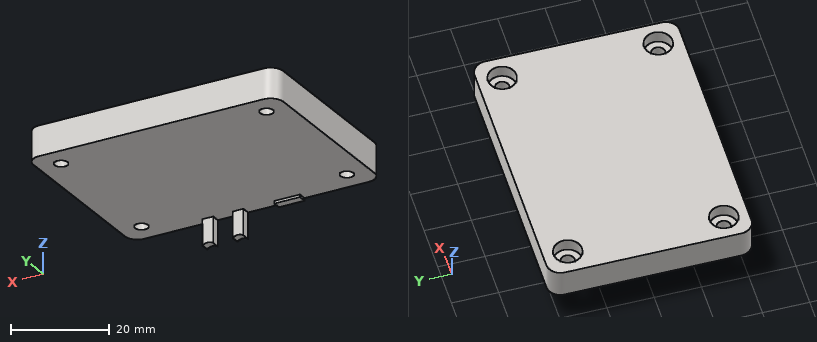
import cadquery as cq

length = 58.4
width = 43.4
plate_thickness = 7.0
corner_radius = 3.0

hole_spacing_x = 48.0
hole_spacing_y = 33.0
hole_diameter = 3.0
counterbore_diameter = 6.0
counterbore_depth = 3.0

total_height = 13.0
tab_depth = 2.0
pad_width = 6.0
pad_height = 0.6
pad_center_x = -8.2
pin_width = 2.5
pin_height = total_height - plate_thickness
first_pin_x = 3.25
pin_pitch = 7.05
notch_diameter = 4.0

front_y = -width / 2


def make_plate():
    plate = cq.Workplane("XY").box(length, width, plate_thickness, centered=(True, True, False))
    return (
        plate.edges("|Z").fillet(corner_radius)
        .faces(">Z").workplane()
        .rect(hole_spacing_x, hole_spacing_y, forConstruction=True).vertices()
        .cboreHole(hole_diameter, counterbore_diameter, counterbore_depth)
    )


def make_tab(center_x, tab_width, height):
    """Block hanging from the underside, flush with the front side."""
    tab = cq.Workplane("XY").box(tab_width, tab_depth, height, centered=(True, False, False))
    return tab.translate((center_x, front_y, -height))


def make_pin(center_x):
    """Tab whose lower end is hollowed by a round notch running along Y."""
    notch_radius = notch_diameter / 2
    center_drop = (notch_radius**2 - (pin_width / 2) ** 2) ** 0.5
    notch = (
        cq.Workplane("XZ", origin=(center_x, front_y, -pin_height - center_drop))
        .circle(notch_radius).extrude(-tab_depth)
    )
    return make_tab(center_x, pin_width, pin_height).cut(notch)


result = make_plate().union(make_tab(pad_center_x, pad_width, pad_height))
for pin_x in (first_pin_x, first_pin_x + pin_pitch):
    result = result.union(make_pin(pin_x))